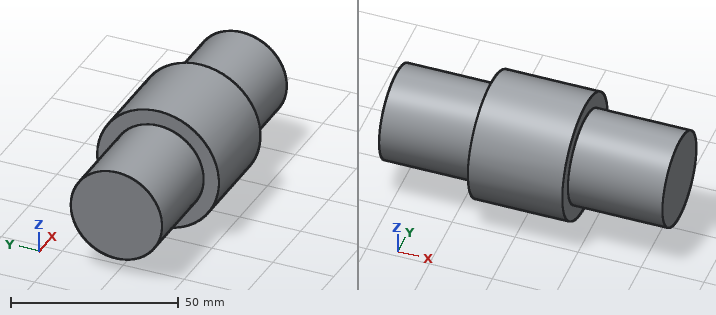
import cadquery as cq

shaft_length = 90.0
collar_length = shaft_length / 3
shaft_diameter = shaft_length / 3
collar_diameter = shaft_diameter * 4 / 3


def centred_cylinder(diameter, length):
    """Cylinder along X, centred on the origin."""
    start = cq.Workplane("YZ").workplane(offset=-length / 2)
    return start.circle(diameter / 2).extrude(length)


shaft = centred_cylinder(shaft_diameter, shaft_length)
collar = centred_cylinder(collar_diameter, collar_length)

result = shaft.union(collar)